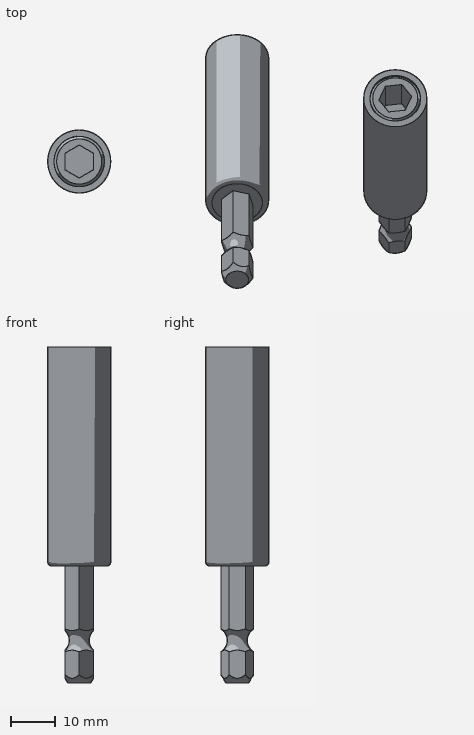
import cadquery as cq
import math

total_length = 75.0
sleeve_diameter = 14.1
sleeve_bottom = 26.1
sleeve_edge_radius = 0.9

core_diameter = 11.25
core_chamfer = 0.6
socket_depth = 10.0

hex_across_flats = 6.4
hex_across_corners = hex_across_flats / math.cos(math.radians(30))
groove_center = 9.5
groove_arc_radius = 3.0
neck_radius = 2.25
tip_radius = 2.55
tip_chamfer_height = 1.9

sleeve_length = total_length - sleeve_bottom


def hex_prism(bottom, height):
    """Hexagonal prism with two corners on the Y axis."""
    return (
        cq.Workplane("XY", origin=(0, 0, bottom))
        .transformed(rotate=(0, 0, 90))
        .polygon(6, hex_across_corners)
        .extrude(height)
    )


def make_sleeve():
    """Plain tube with a rounded lower outer edge."""
    tube = cq.Workplane("XY", origin=(0, 0, sleeve_bottom)).circle(sleeve_diameter / 2).extrude(sleeve_length)
    tube = tube.faces("<Z").edges().fillet(sleeve_edge_radius)
    return tube.faces(">Z").workplane().hole(core_diameter)


def groove_cutter():
    """Ring of circular section that leaves the narrow neck of the shank."""
    return cq.Workplane("XY").add(
        cq.Solid.makeTorus(
            neck_radius + groove_arc_radius,
            groove_arc_radius,
            cq.Vector(0, 0, groove_center),
            cq.Vector(0, 0, 1),
        )
    )


def tip_cutter():
    """Ring of triangular section that bevels the hexagon at its free end."""
    corner_radius = hex_across_corners / 2
    return (
        cq.Workplane("XZ")
        .moveTo(tip_radius, 0)
        .lineTo(corner_radius, 0)
        .lineTo(corner_radius, tip_chamfer_height)
        .close()
        .revolve(360, (0, 0, 0), (0, 1, 0))
    )


def make_holder():
    """Hexagonal shank and round core in one piece, with a hexagonal bit socket."""
    core = cq.Workplane("XY", origin=(0, 0, sleeve_bottom)).circle(core_diameter / 2).extrude(sleeve_length)
    core = core.faces(">Z").edges().chamfer(core_chamfer)
    shank = hex_prism(0, sleeve_bottom).cut(groove_cutter()).cut(tip_cutter())
    socket = hex_prism(total_length - socket_depth, socket_depth)
    return core.union(shank).cut(socket)


sleeve = make_sleeve()
holder = make_holder()
result = cq.Compound.makeCompound([sleeve.val(), holder.val()])